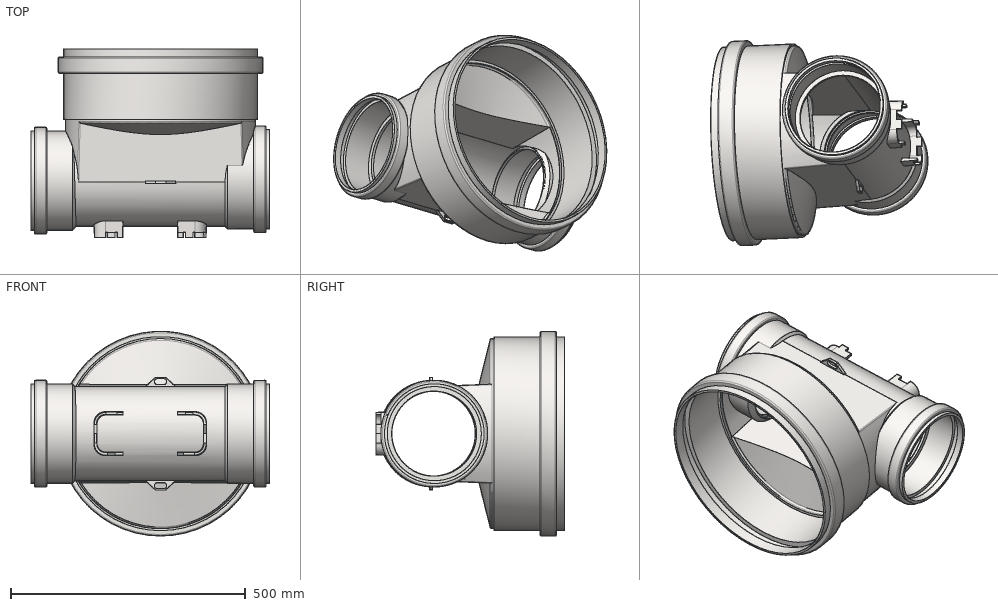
import cadquery as cq
import math


DRUM_END = 277.0
DRUM_OUTER_D = 413.0
DRUM_BORE_D = 404.0
DRUM_LENGTH = 150.0
DRUM_BEAD_OUTER_D = 436.0
DRUM_BEAD_BORE_D = 427.5
DRUM_BEAD_START = 17.5
DRUM_BEAD_LENGTH = 34.5
DRUM_BEAD_ROUND = 3.0
DRUM_BEAD_TOP = DRUM_END - DRUM_BEAD_START
DRUM_BEAD_BOTTOM = DRUM_BEAD_TOP - DRUM_BEAD_LENGTH

WALL = 6.5
NECK_OUTER_D = 405.0
NECK_RIM = 8.5
NECK_RIM_ROUND = 4.5
NECK_BASE = -6.0
NECK_CORNER_ROUND = 3.0
NECK_DRAFT = 2.2
CONE_ANGLE = 14.0
NECK_TOP = DRUM_END - DRUM_LENGTH
DRUM_FLOOR = NECK_TOP + WALL
NECK_RADIUS = NECK_OUTER_D / 2
NECK_RIM_BOTTOM = NECK_TOP - NECK_RIM + NECK_RIM_ROUND

PIPE_OUTER_D = 201.0
PIPE_BORE_D = PIPE_OUTER_D - 2 * WALL
STOP_BORE_D = 180.5
SOCKET_OUTER_D = 212.0
SOCKET_BORE_D = 200.5
SOCKET_BEAD_OUTER_D = 227.5
SOCKET_BEAD_BORE_D = 215.5
SOCKET_BEAD_START = 7.5
SOCKET_BEAD_LENGTH = 26.5
SOCKET_BEAD_ROUND = 3.0
STEP_LENGTH = 5.0
STOP_THICKNESS = 6.0
OVERALL_LENGTH = 508.5
LEFT_MOUTH = -276.0
RIGHT_MOUTH = LEFT_MOUTH + OVERALL_LENGTH
LEFT_SOCKET_LENGTH = 93.5
RIGHT_SOCKET_LENGTH = 95.0
LEFT_SOCKET_DROP = 3.0

PIPE_START = LEFT_MOUTH + LEFT_SOCKET_LENGTH
PIPE_END = RIGHT_MOUTH - RIGHT_SOCKET_LENGTH

EYELET_Y = -6.5
EYELET_THICKNESS = 6.0
EYELET_TIP = 119.5
EYELET_ROOT = 96.5
EYELET_TIP_WIDTH = 22.5
EYELET_ROOT_WIDTH = 72.0
EYELET_SLOT_LENGTH = 26.5
EYELET_SLOT_WIDTH = 12.0
EYELET_SLOT_Z = 111.0

OVERALL_DEPTH = 401.5
CLIP_TIP = DRUM_END - OVERALL_DEPTH
CLIP_HEIGHT = 37.5
CLIP_PAIR_LENGTH = 237.5
CLIP_WIDTH = 90.5
CLIP_LENGTH = 60.5
CLIP_ROUND = 23.5
CLIP_WALL = 4.5
CLIP_DRAFT = 2.5
CLIP_NOTCH_DEPTH = 10.5
CLIP_END_TAB = 12.0
CLIP_CORNER_END = 24.5
CLIP_WALL_TAB = 20.0
CLIP_TAB_START = 27.5
CLIP_TAB_LENGTH = 17.0
CLIP_CENTRE_X = LEFT_MOUTH + OVERALL_LENGTH / 2


def cylinder_x(diameter, x_start, x_end):
    return cq.Workplane("YZ", origin=(x_start, 0, 0)).circle(diameter / 2).extrude(x_end - x_start)


def cylinder_y(diameter, y_start, y_end):
    body = cq.Workplane("XZ", origin=(0, y_end, 0)).circle(diameter / 2).extrude(y_end - y_start)
    return body.rotate((0, 0, 0), (0, 1, 0), 90)


def neck_block(half_width, half_length):
    """Drafted block from beside the pipe up to the drum, with round ends about the drum axis."""
    spread = (NECK_TOP - NECK_BASE) * math.tan(math.radians(NECK_DRAFT))
    top_half_width = half_width + spread
    block = (
        cq.Workplane("YZ", origin=(-half_length, 0, 0))
        .polyline([
            (NECK_BASE, -half_width),
            (NECK_TOP, -top_half_width),
            (NECK_TOP, top_half_width),
            (NECK_BASE, half_width),
        ])
        .close()
        .extrude(2 * half_length)
    )
    return block.intersect(cylinder_y(2 * half_length, NECK_BASE, NECK_TOP))


def neck_cone(radius, top, rim_bottom, rim_round):
    """Shallow cone with a rounded rim, closing the underside of the drum."""
    cone_rise = math.tan(math.radians(CONE_ANGLE))
    half_turn = math.radians(90 - CONE_ANGLE) / 2
    flank_x = radius - rim_round * (1 - math.sin(math.radians(CONE_ANGLE)))
    flank_y = rim_bottom - rim_round * math.cos(math.radians(CONE_ANGLE))
    middle_x = radius - rim_round * (1 - math.cos(half_turn))
    middle_y = rim_bottom - rim_round * math.sin(half_turn)
    return (
        cq.Workplane("ZY")
        .moveTo(0, top)
        .lineTo(radius, top)
        .lineTo(radius, rim_bottom)
        .threePointArc((middle_x, middle_y), (flank_x, flank_y))
        .lineTo(0, flank_y - flank_x * cone_rise)
        .close()
        .revolve(360, (0, 0, 0), (0, 1, 0))
    )


def drum_and_neck():
    """Outside of the drum, its bead, the conical wall and the neck block."""
    bead = cylinder_y(DRUM_BEAD_OUTER_D, DRUM_BEAD_BOTTOM, DRUM_BEAD_TOP).edges().fillet(DRUM_BEAD_ROUND)
    block = neck_block(PIPE_OUTER_D / 2, NECK_RADIUS).edges("%ELLIPSE").fillet(NECK_CORNER_ROUND)
    return (
        cylinder_y(DRUM_OUTER_D, NECK_TOP, DRUM_END)
        .union(bead)
        .union(neck_cone(NECK_RADIUS, NECK_TOP, NECK_RIM_BOTTOM, NECK_RIM_ROUND))
        .union(block)
    )


def chamber_cavity():
    """Inside of the drum, the conical wall and the neck block."""
    inner_radius = NECK_RADIUS - WALL
    return (
        cylinder_y(DRUM_BORE_D, DRUM_FLOOR, DRUM_END)
        .union(cylinder_y(DRUM_BEAD_BORE_D, DRUM_BEAD_BOTTOM + WALL, DRUM_BEAD_TOP - WALL))
        .union(neck_cone(inner_radius, DRUM_FLOOR, NECK_RIM_BOTTOM + WALL, NECK_RIM_ROUND))
        .union(neck_block(PIPE_BORE_D / 2, inner_radius))
    )


def socket_solid(length):
    """Outside of a socket with its mouth at X = 0, running along +X."""
    barrel_end = length - STEP_LENGTH
    step_drop = (SOCKET_OUTER_D - PIPE_OUTER_D) / 2
    root = length + STEP_LENGTH
    bead_end = SOCKET_BEAD_START + SOCKET_BEAD_LENGTH
    barrel = (
        cq.Workplane("XY")
        .polyline([
            (0, 0),
            (0, SOCKET_OUTER_D / 2),
            (barrel_end, SOCKET_OUTER_D / 2),
            (root, PIPE_OUTER_D / 2 - step_drop),
            (root, 0),
        ])
        .close()
        .revolve(360, (0, 0, 0), (1, 0, 0))
    )
    bead = cylinder_x(SOCKET_BEAD_OUTER_D, SOCKET_BEAD_START, bead_end).edges().fillet(SOCKET_BEAD_ROUND)
    return barrel.union(bead)


def socket_bore(length):
    """Inside of a socket: seal groove, seat and the smaller hole in the pipe stop."""
    seat = length - STOP_THICKNESS
    groove_start = SOCKET_BEAD_START + WALL
    groove_end = SOCKET_BEAD_START + SOCKET_BEAD_LENGTH - WALL
    return (
        cylinder_x(SOCKET_BORE_D, 0, seat)
        .union(cylinder_x(SOCKET_BEAD_BORE_D, groove_start, groove_end))
        .union(cylinder_x(STOP_BORE_D, 0, length + WALL))
    )


def place_socket(body, mouth, inward, y):
    """Move a socket body to its mouth; inward is the sign of X it runs along."""
    if inward < 0:
        body = body.mirror("YZ")
    return body.translate((mouth, y, 0))


def eyelet():
    """Upper lifting eyelet, a thin slotted plate rising from the pipe."""
    plate = (
        cq.Workplane("XZ", origin=(0, EYELET_Y + EYELET_THICKNESS / 2, 0))
        .polyline([
            (-EYELET_ROOT_WIDTH / 2, EYELET_ROOT),
            (EYELET_ROOT_WIDTH / 2, EYELET_ROOT),
            (EYELET_TIP_WIDTH / 2, EYELET_TIP),
            (-EYELET_TIP_WIDTH / 2, EYELET_TIP),
        ])
        .close()
        .extrude(EYELET_THICKNESS)
    )
    slot = (
        cq.Workplane("XZ", origin=(0, EYELET_Y + EYELET_THICKNESS / 2, 0))
        .center(0, EYELET_SLOT_Z)
        .slot2D(EYELET_SLOT_LENGTH, EYELET_SLOT_WIDTH)
        .extrude(EYELET_THICKNESS)
    )
    return plate.cut(slot)


def clip_loop(inset, draft):
    """Rounded block grown from the clip tips towards the pipe."""
    length = CLIP_PAIR_LENGTH - 2 * inset
    width = CLIP_WIDTH - 2 * inset
    return (
        cq.Workplane("XZ", origin=(CLIP_CENTRE_X, CLIP_TIP, 0))
        .sketch()
        .rect(length, width)
        .vertices()
        .fillet(CLIP_ROUND - inset)
        .finalize()
        .extrude(-CLIP_HEIGHT, taper=draft)
    )


def clip_notch(x_start, x_end, z_start, z_end):
    """Cutter at the tip of the left clip; x counts from the clip's outer end."""
    left = CLIP_CENTRE_X - CLIP_PAIR_LENGTH / 2
    return (
        cq.Workplane("XY")
        .box(x_end - x_start, CLIP_NOTCH_DEPTH, z_end - z_start, centered=False)
        .translate((left + x_start, CLIP_TIP, z_start))
    )


def clip():
    """Left C-shaped clip with its interlocking notched edge."""
    ring = clip_loop(0, -CLIP_DRAFT).cut(clip_loop(CLIP_WALL, CLIP_DRAFT))
    gap = CLIP_PAIR_LENGTH - 2 * CLIP_LENGTH
    opening = (
        cq.Workplane("XY")
        .box(CLIP_PAIR_LENGTH, CLIP_HEIGHT, 2 * CLIP_WIDTH, centered=(False, False, True))
        .translate((CLIP_CENTRE_X - gap / 2, CLIP_TIP, 0))
    )
    ring = ring.cut(opening)
    reach = CLIP_WIDTH
    notches = [
        (CLIP_CORNER_END, CLIP_LENGTH - CLIP_END_TAB, 0, reach),
        (-CLIP_WALL, CLIP_CORNER_END, 0, CLIP_WALL_TAB),
        (-CLIP_WALL, CLIP_TAB_START, -reach, -CLIP_WALL_TAB),
        (CLIP_TAB_START + CLIP_TAB_LENGTH, CLIP_LENGTH, -reach, 0),
    ]
    for notch in notches:
        ring = ring.cut(clip_notch(*notch))
    return ring


def fitting():
    """Join the outsides, then remove the cavity and the bores."""
    sockets = [
        (LEFT_MOUTH, 1, LEFT_SOCKET_LENGTH, -LEFT_SOCKET_DROP),
        (RIGHT_MOUTH, -1, RIGHT_SOCKET_LENGTH, 0),
    ]
    pipe = cylinder_x(PIPE_OUTER_D, PIPE_START - STEP_LENGTH, PIPE_END + STEP_LENGTH)
    bores = cylinder_x(PIPE_BORE_D, PIPE_START, PIPE_END)
    cavity = chamber_cavity()
    for mouth, inward, length, y in sockets:
        socket = place_socket(socket_solid(length), mouth, inward, y)
        pipe = pipe.union(socket)
        cavity = cavity.cut(socket)
        bores = bores.union(place_socket(socket_bore(length), mouth, inward, y))

    left_clip = clip()
    right_clip = left_clip.rotate((CLIP_CENTRE_X, 0, 0), (CLIP_CENTRE_X, 1, 0), 180)
    upper_eyelet = eyelet()
    lower_eyelet = upper_eyelet.mirror("XY")
    body = pipe.union(drum_and_neck())
    for detail in (left_clip, right_clip, upper_eyelet, lower_eyelet):
        body = body.union(detail)
    return body.cut(cavity).cut(bores)


result = fitting()